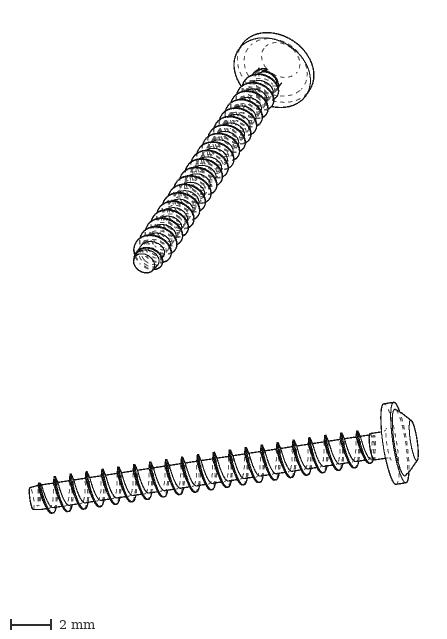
import cadquery as cq
import math


flange_radius = 2.0
flange_thickness = 0.5
dome_height = 0.7
dome_base_radius = 1.65
dome_top_radius = 1.0
dome_bulge = 0.04

screw_length = 18.0
neck_radius = 0.66
neck_length = 0.9
neck_fillet = 0.25
core_radius = 0.6
tip_radius = 0.55
tip_taper_length = 0.4
tip_dimple_depth = 0.03

pitch = 0.8
crest_radius = 0.9
root_radius = 0.5
crest_width = 0.06
root_width = 0.27
tip_crest_radius = 0.59
neck_crest_radius = 0.72
fade_length = pitch
thread_top = -0.8
thread_bottom = -17.8
thread_bottom_angle = 180.0


def make_head_and_core():
    """Revolve the head, the filleted neck and the core as one body."""
    head_top = flange_thickness + dome_height
    chord_run = dome_base_radius - dome_top_radius
    chord_length = math.hypot(chord_run, dome_height)
    dome_mid = (
        (dome_base_radius + dome_top_radius) / 2 + dome_bulge * dome_height / chord_length,
        flange_thickness + dome_height / 2 + dome_bulge * chord_run / chord_length,
    )
    fillet_offset = neck_fillet * (1 - math.sqrt(0.5))
    fillet_mid = (neck_radius + fillet_offset, -fillet_offset)
    dimple_mid_radius = tip_radius / 2
    dimple_sphere = (tip_radius**2 + tip_dimple_depth**2) / (2 * tip_dimple_depth)
    dimple_mid_depth = tip_dimple_depth - dimple_sphere + math.sqrt(
        dimple_sphere**2 - dimple_mid_radius**2
    )

    profile = (
        cq.Workplane("XZ")
        .moveTo(0, head_top)
        .lineTo(dome_top_radius, head_top)
        .threePointArc(dome_mid, (dome_base_radius, flange_thickness))
        .lineTo(flange_radius, flange_thickness)
        .lineTo(flange_radius, 0)
        .lineTo(neck_radius + neck_fillet, 0)
        .threePointArc(fillet_mid, (neck_radius, -neck_fillet))
        .lineTo(neck_radius, -neck_length)
        .lineTo(core_radius, -neck_length)
        .lineTo(core_radius, tip_taper_length - screw_length)
        .lineTo(tip_radius, -screw_length)
        .threePointArc(
            (dimple_mid_radius, dimple_mid_depth - screw_length),
            (0, tip_dimple_depth - screw_length),
        )
        .close()
    )
    return profile.revolve(360, (0, 0, 0), (0, 1, 0)).val()


def make_helix(start_radius, end_radius, length, start_height):
    """Right-handed helix rising by length while its radius changes evenly."""
    cone_angle = math.degrees(math.atan2(end_radius - start_radius, length))
    slant = 1 / math.cos(math.radians(cone_angle))
    if start_radius == end_radius:
        helix = cq.Wire.makeHelix(pitch, length, start_radius)
    else:
        helix = cq.Wire.makeHelix(pitch * slant, length * slant, start_radius, angle=cone_angle)
    return helix.translate(cq.Vector(0, 0, start_height))


def make_thread_section(start_height, end_height, start_crest, end_crest):
    """Solid ridge between two heights with a trapezoidal section."""
    length = end_height - start_height
    crest_lower = make_helix(start_crest, end_crest, length, -crest_width / 2)
    crest_upper = make_helix(start_crest, end_crest, length, crest_width / 2)
    root_lower = make_helix(root_radius, root_radius, length, -root_width / 2)
    root_upper = make_helix(root_radius, root_radius, length, root_width / 2)
    outline = [root_lower, crest_lower, crest_upper, root_upper]

    faces = []
    for index, helix in enumerate(outline):
        faces.append(cq.Face.makeRuledSurface(outline[index - 1], helix))
    for end in (0, 1):
        corners = [helix.positionAt(end) for helix in outline]
        faces.append(cq.Face.makeFromWires(cq.Wire.makePolygon(corners, close=True)))
    ridge = cq.Solid.makeSolid(cq.Shell.makeShell(faces))

    turn = thread_bottom_angle + 360 * (start_height - thread_bottom) / pitch
    ridge = ridge.rotate(cq.Vector(0, 0, 0), cq.Vector(0, 0, 1), turn)
    return ridge.translate(cq.Vector(0, 0, start_height))


def make_thread():
    """Ridges of at most one turn each: a fading one at each end, full height between."""
    full_bottom = thread_bottom + fade_length
    full_top = thread_top - fade_length
    full_turns = math.ceil((full_top - full_bottom) / pitch)
    full_step = (full_top - full_bottom) / full_turns

    ridges = [make_thread_section(thread_bottom, full_bottom, tip_crest_radius, crest_radius)]
    for turn in range(full_turns):
        bottom = full_bottom + turn * full_step
        ridges.append(make_thread_section(bottom, bottom + full_step, crest_radius, crest_radius))
    ridges.append(make_thread_section(full_top, thread_top, crest_radius, neck_crest_radius))
    return ridges


screw = make_head_and_core().fuse(*make_thread())

result = cq.Workplane("XY").newObject(screw.Solids()).rotate((0, 0, 0), (1, 0, 0), -90)